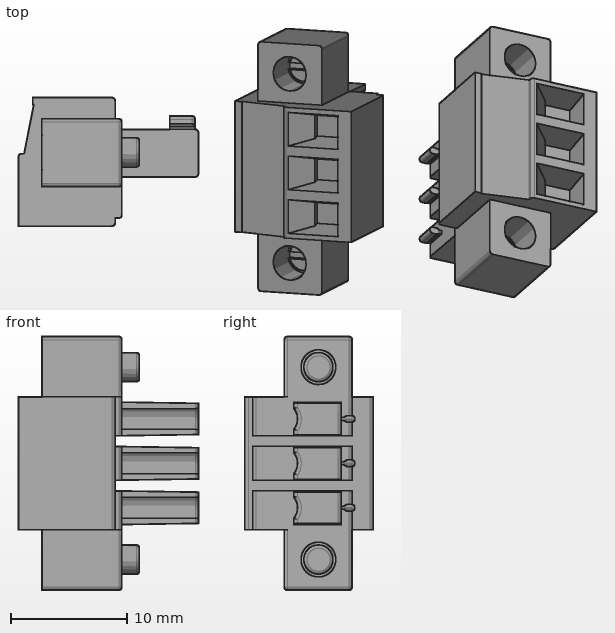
import cadquery as cq
import math


total_length = 15.5
body_width = 11.1
total_height = 21.83

pole_count = 3
pole_pitch = 3.82
pole_heights = [(i - (pole_count - 1) / 2) * pole_pitch for i in range(pole_count)]

body_height = 11.44
body_back = 8.34
body_fillet = 0.33
lip_front = 1.22
lip_width = 0.63
wall_thickness = 0.7

step_x = 0.48
step_y = 6.25
slope_end_x = 1.3
step_fillet = 0.26
step_root_fillet = 0.05

flange_front = 2.0
flange_back = 8.9
flange_bottom = 3.4
flange_top = 9.25
flange_fillet = 0.28

entry_bottom = 1.22
entry_top = 5.76
entry_height = 2.95
entry_depth = 2.42
entry_floor_bottom = 1.35
entry_floor_height = 1.81
ramp_floor_top = 3.5
wall_mouth_top = 4.08
wall_floor_top = 4.0

finger_bottom = 4.24
finger_top = 8.34
finger_root_height = 2.93
finger_tip_height = 2.7
finger_fillet = 0.3
groove_diameter = 2.8
groove_width = 1.8

tab_start = 13.0
tab_length = 2.18
tab_height = 1.15
tab_width = 0.6
tab_neck_height = 0.22
tab_undercut = 0.15
tab_undercut_height = 0.26
tab_tip_fillet = 0.26

screw_y = 6.35
screw_z = 8.27
shank_diameter = 2.5
shank_end = 10.41
shank_fillet = 0.26
head_diameter = 3.0
head_front = 5.45
head_fillet = 0.26
slot_width = 0.61
slot_depth = 0.65


def block(x_range, y_range, z_range):
    """Box given by its limits along each axis."""
    sizes = [high - low for low, high in (x_range, y_range, z_range)]
    corner = (x_range[0], y_range[0], z_range[0])
    return cq.Workplane("XY").box(*sizes, centered=False).translate(corner)


def make_housing():
    slope_end_y = body_width - lip_width
    outline = [
        (0, 0),
        (body_back, 0),
        (body_back, body_width),
        (lip_front, body_width),
        (lip_front, slope_end_y),
        (slope_end_x, slope_end_y),
        (step_x, step_y),
        (0, step_y),
    ]
    housing = (
        cq.Workplane("XY")
        .polyline(outline)
        .close()
        .extrude(body_height / 2, both=True)
    )
    housing = housing.edges("|Z and >X").fillet(body_fillet)
    housing = housing.edges(cq.NearestToPointSelector((0, step_y, 0))).fillet(step_fillet)
    return housing.edges(cq.NearestToPointSelector((step_x, step_y, 0))).fillet(step_root_fillet)


def make_flanges():
    half_height = total_height / 2
    flanges = block(
        (flange_front, flange_back), (flange_bottom, flange_top), (-half_height, half_height)
    )
    flanges = flanges.edges("|X or >X").fillet(flange_fillet)
    middle = block(
        (flange_front, flange_back),
        (flange_bottom, flange_top),
        (-body_height / 2, body_height / 2),
    )
    return flanges.cut(middle)


def finger_outline(start_x):
    """Finger outline in the XZ plane: it narrows evenly from the body to the tip."""
    slope = (finger_root_height - finger_tip_height) / (total_length - body_back)
    start_height = finger_root_height + slope * (body_back - start_x)
    return [
        (start_x, -start_height / 2),
        (total_length, -finger_tip_height / 2),
        (total_length, finger_tip_height / 2),
        (start_x, start_height / 2),
    ]


def make_finger():
    finger = (
        cq.Workplane("XZ", origin=(0, finger_bottom, 0))
        .polyline(finger_outline(body_back - body_fillet))
        .close()
        .extrude(finger_bottom - finger_top)
    )
    groove_radius = groove_diameter / 2
    groove_axis_y = finger_bottom - math.sqrt(groove_radius**2 - (groove_width / 2) ** 2)
    groove = (
        cq.Workplane("YZ", origin=(flange_back, groove_axis_y, 0))
        .circle(groove_radius)
        .extrude(total_length - flange_back)
    )
    finger = finger.cut(groove)
    return finger.faces(">X").edges("not(<Z or >Z)").fillet(finger_fillet)


def make_finger_roots():
    """Rounded steps behind the body, split by the gaps between the fingers."""
    root = block(
        (body_back - body_fillet, flange_back),
        (wall_thickness, flange_top),
        (-body_height / 2, body_height / 2),
    )
    root = root.edges("|Z and >X").fillet(flange_fillet)
    gap_height = pole_pitch - finger_root_height
    for lower, upper in zip(pole_heights, pole_heights[1:]):
        middle = (lower + upper) / 2
        root = root.cut(
            block(
                (body_back, flange_back),
                (0, body_width),
                (middle - gap_height / 2, middle + gap_height / 2),
            )
        )
    return root


def make_coding_tab():
    """Tab with a rounded head on an undercut neck."""
    half_width = tab_width / 2
    neck_half = half_width - tab_undercut
    neck_end = finger_top + tab_neck_height
    head_start = neck_end + tab_undercut_height
    tab_end = finger_top + tab_height
    tab = (
        cq.Workplane("YZ", origin=(tab_start, 0, 0))
        .moveTo(finger_top, -neck_half)
        .lineTo(neck_end, -neck_half)
        .lineTo(head_start, -half_width)
        .lineTo(tab_end - half_width, -half_width)
        .threePointArc((tab_end, 0), (tab_end - half_width, half_width))
        .lineTo(head_start, half_width)
        .lineTo(neck_end, neck_half)
        .lineTo(finger_top, neck_half)
        .close()
        .extrude(tab_length)
    )
    return tab.faces(">X").edges(">Y").fillet(tab_tip_fillet)


def tapered_pocket(mouth_top, floor_top):
    """Four-sided pocket narrowing from the wire face to its floor."""

    def section(x, bottom, top, height):
        half = height / 2
        corners = [(bottom, -half), (top, -half), (top, half), (bottom, half)]
        points = [cq.Vector(x, y, z) for y, z in corners]
        return cq.Wire.makePolygon(points, close=True)

    mouth = section(0, entry_bottom, mouth_top, entry_height)
    floor = section(entry_depth, entry_floor_bottom, floor_top, entry_floor_height)
    return cq.Workplane(obj=cq.Solid.makeLoft([mouth, floor], True))


def make_wire_entry():
    """Ramped funnel that runs into a nearly straight side wall."""
    ramp = tapered_pocket(entry_top, ramp_floor_top)
    return ramp.union(tapered_pocket(wall_mouth_top, wall_floor_top))


def screw_cylinder(diameter, start_x, end_x, z):
    return (
        cq.Workplane("YZ", origin=(start_x, screw_y, z))
        .circle(diameter / 2)
        .extrude(end_x - start_x)
    )


def make_screw(z):
    shank = screw_cylinder(shank_diameter, head_front, shank_end, z)
    shank = shank.faces(">X").edges().fillet(shank_fillet)
    head = screw_cylinder(head_diameter, head_front, flange_back - flange_fillet, z)
    head = head.faces("<X").edges().fillet(head_fillet)
    slot = block(
        (head_front, head_front + slot_depth),
        (screw_y - head_diameter / 2, screw_y + head_diameter / 2),
        (z - slot_width / 2, z + slot_width / 2),
    )
    return head.union(shank).cut(slot)


result = make_housing().union(make_flanges()).union(make_finger_roots())

finger_with_tab = make_finger().union(make_coding_tab())
wire_entry = make_wire_entry()
for height in pole_heights:
    result = result.union(finger_with_tab.translate((0, 0, height)))
    result = result.cut(wire_entry.translate((0, 0, height)))

for height in (-screw_z, screw_z):
    result = result.cut(screw_cylinder(head_diameter, flange_front, flange_back, height))
    result = result.union(make_screw(height))